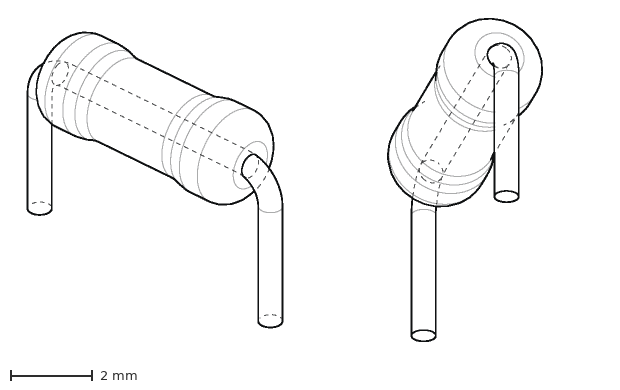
import cadquery as cq
import math

span = 8.24
wire_diameter = 0.6
end_diameter = 2.5
waist_diameter = 2.25
body_length = 6.295
end_flat_length = 0.59
taper_length = 0.69
height = 5.5

end_radius = end_diameter / 2
waist_radius = waist_diameter / 2
wire_radius = wire_diameter / 2
rounding = end_radius / 2
bend_radius = 1.5 * wire_diameter
leg_x = span / 2 - wire_radius
foot_z = end_radius - height
half_length = body_length / 2
rim_x = half_length - rounding
taper_outer_x = rim_x - end_flat_length
taper_middle_x = taper_outer_x - taper_length / 2
taper_inner_x = taper_outer_x - taper_length
taper_middle_radius = (end_radius + waist_radius) / 2


def make_wire():
    """One round wire: two legs, two bends and the straight run through the body."""
    arc_offset = bend_radius * (1 - math.sqrt(0.5))
    bend_x = leg_x - bend_radius
    path = (
        cq.Workplane("XZ")
        .moveTo(-leg_x, foot_z)
        .lineTo(-leg_x, -bend_radius)
        .threePointArc((-leg_x + arc_offset, -arc_offset), (-bend_x, 0))
        .lineTo(bend_x, 0)
        .threePointArc((leg_x - arc_offset, -arc_offset), (leg_x, -bend_radius))
        .lineTo(leg_x, foot_z)
    )
    foot = cq.Workplane("XY", origin=(-leg_x, 0, foot_z)).circle(wire_radius)
    return foot.sweep(path)


def make_body(wire):
    """Revolved body with rounded ends and a slim waist, bored for the wire."""
    profile = (
        cq.Workplane("XY")
        .moveTo(-half_length, 0)
        .lineTo(-half_length, end_radius - rounding)
        .tangentArcPoint((-rim_x, end_radius), relative=False)
        .lineTo(-taper_outer_x, end_radius)
        .tangentArcPoint((-taper_middle_x, taper_middle_radius), relative=False)
        .tangentArcPoint((-taper_inner_x, waist_radius), relative=False)
        .lineTo(taper_inner_x, waist_radius)
        .tangentArcPoint((taper_middle_x, taper_middle_radius), relative=False)
        .tangentArcPoint((taper_outer_x, end_radius), relative=False)
        .lineTo(rim_x, end_radius)
        .tangentArcPoint((half_length, end_radius - rounding), relative=False)
        .lineTo(half_length, 0)
        .close()
    )
    solid_body = profile.revolve(360, (0, 0, 0), (1, 0, 0))
    return solid_body.cut(wire).solids()


lead_wire = make_wire()
body = make_body(lead_wire)

result = cq.Compound.makeCompound([body.val(), lead_wire.val()])